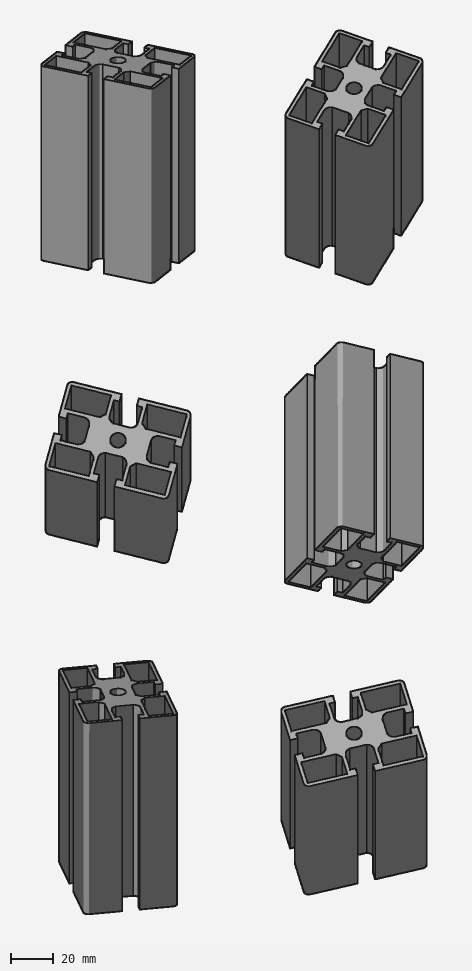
import cadquery as cq

width = 60.0
depth = 45.0
length = 100.0
corner_radius = 2.5

slot_opening = 8.4
slot_width = 13.8
slot_depth = 15.0
lip_thickness = 3.8
slot_floor_radius = 3.4

wall = 1.9
chamber_chamfer = 2.3
bore_diameter = 7.3


def t_slot(face_distance):
    """T-slot cutter opening toward +X on a side at the given distance from the axis."""
    floor = face_distance - slot_depth
    cavity_length = slot_depth - lip_thickness
    cavity = (
        cq.Workplane("XY")
        .center(floor + cavity_length / 2, 0)
        .rect(cavity_length, slot_width)
        .extrude(length)
        .edges("|Z and <X")
        .fillet(slot_floor_radius)
    )
    mouth = (
        cq.Workplane("XY")
        .center(floor + slot_depth / 2, 0)
        .rect(slot_depth, slot_opening)
        .extrude(length)
    )
    return cavity.union(mouth)


def corner_chamber():
    """Hollow chamber in the +X +Y corner, chamfered on its edge nearest the axis."""
    inner = slot_width / 2 + wall
    outer_x = width / 2 - wall
    outer_y = depth / 2 - wall
    return (
        cq.Workplane("XY")
        .moveTo(inner + chamber_chamfer, inner)
        .lineTo(outer_x, inner)
        .lineTo(outer_x, outer_y)
        .lineTo(inner, outer_y)
        .lineTo(inner, inner + chamber_chamfer)
        .close()
        .extrude(length)
    )


profile = cq.Workplane("XY").rect(width, depth).extrude(length).edges("|Z").fillet(corner_radius)

for side in range(4):
    face_distance = width / 2 if side % 2 == 0 else depth / 2
    profile = profile.cut(t_slot(face_distance).rotate((0, 0, 0), (0, 0, 1), 90 * side))

chamber = corner_chamber()
chamber_pair = chamber.union(chamber.mirror("YZ"))
profile = profile.cut(chamber_pair).cut(chamber_pair.mirror("XZ"))

bore = cq.Workplane("XY").circle(bore_diameter / 2).extrude(length)
result = profile.cut(bore)